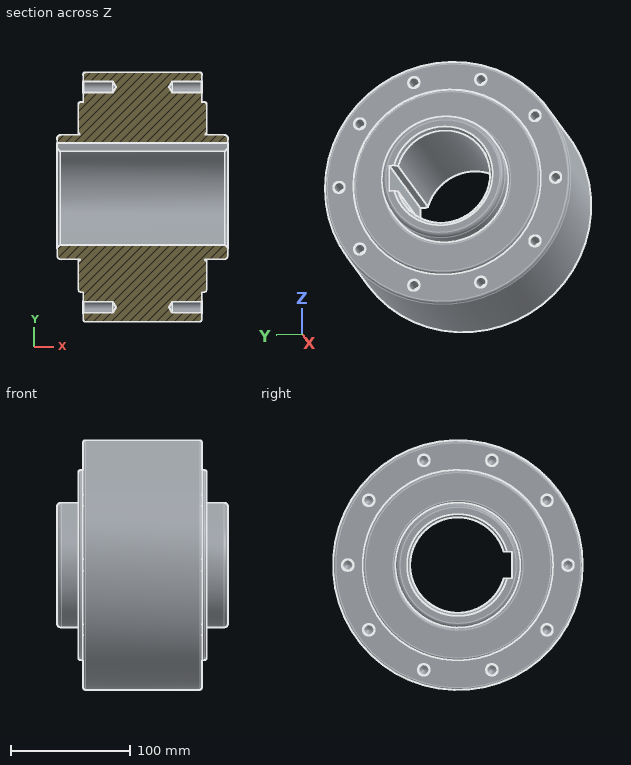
import cadquery as cq
import math

hub_length = 144.0
cover_length = 108.0
body_length = 100.0

body_diameter = 210.0
cover_diameter = 160.0
hub_diameter = 105.0
bore_diameter = 80.0

housing_fillet = 2.1
hub_fillet = 3.7
bore_chamfer = 2.8

key_width = 22.0
key_height_over_bore = 5.4

hole_count = 10
hole_circle_diameter = 185.0
hole_diameter = 9.0
hole_mouth_diameter = 10.0
hole_depth = 25.0
drill_point_angle = 118.0


def centred_cylinder(diameter, length):
    """Cylinder along X, centred on the origin."""
    return cq.Workplane("YZ", origin=(-length / 2, 0, 0)).circle(diameter / 2).extrude(length)


def rounded_cylinder(diameter, length, fillet):
    """Centred cylinder with both rims rounded."""
    return centred_cylinder(diameter, length).edges("%CIRCLE").fillet(fillet)


def revolved_about_x(profile):
    """Solid of revolution of a closed profile of (x, radius) points."""
    return cq.Workplane("XY").polyline(profile).close().revolve(360, (0, 0, 0), (1, 0, 0))


def mirrored_pair(half):
    """The given solid together with its mirror image at the other end."""
    return half.union(half.mirror("YZ"))


def make_housing():
    """Outer body with a raised cover at each end."""
    body = rounded_cylinder(body_diameter, body_length, housing_fillet)
    cover = rounded_cylinder(cover_diameter, cover_length, housing_fillet)
    return body.union(cover)


def make_cover_rim_grooves():
    """Cuts that round the inner rim of each cover, running down to the hub surface."""
    face = cover_length / 2
    hub_radius = hub_diameter / 2
    arc_middle_inset = housing_fillet * (1 - math.sqrt(0.5))
    groove = (
        cq.Workplane("XY")
        .moveTo(face, 0)
        .lineTo(face, hub_radius + housing_fillet)
        .threePointArc(
            (face - arc_middle_inset, hub_radius + arc_middle_inset),
            (face - housing_fillet, hub_radius),
        )
        .lineTo(face - housing_fillet, 0)
        .close()
        .revolve(360, (0, 0, 0), (1, 0, 0))
    )
    return mirrored_pair(groove)


def make_bore():
    """Through bore with a conical lead-in at each end."""
    end = hub_length / 2
    bore_radius = bore_diameter / 2
    mouth_radius = bore_radius + bore_chamfer
    return revolved_about_x([
        (-end, 0),
        (-end, mouth_radius),
        (-end + bore_chamfer, bore_radius),
        (end - bore_chamfer, bore_radius),
        (end, mouth_radius),
        (end, 0),
    ])


def make_keyway():
    """Rectangular slot along the full length of the bore."""
    key_reach = bore_diameter / 2 + key_height_over_bore
    return cq.Workplane("XY").box(hub_length, key_reach, key_width).translate((0, key_reach / 2, 0))


def make_end_holes():
    """Ring of countersunk blind holes with conical bottoms in each end face."""
    face = body_length / 2
    hole_radius = hole_diameter / 2
    mouth_radius = hole_mouth_diameter / 2
    mouth_depth = mouth_radius - hole_radius
    point_length = hole_radius / math.tan(math.radians(drill_point_angle / 2))
    drill = revolved_about_x([
        (face, 0),
        (face, mouth_radius),
        (face - mouth_depth, hole_radius),
        (face - hole_depth, hole_radius),
        (face - hole_depth - point_length, 0),
    ]).translate((0, hole_circle_diameter / 2, 0))
    holes = cq.Workplane("XY")
    for index in range(hole_count):
        angle = index * 360 / hole_count
        holes = holes.add(drill.rotate((0, 0, 0), (1, 0, 0), angle))
    return mirrored_pair(holes.combine())


hub = rounded_cylinder(hub_diameter, hub_length, hub_fillet)

result = (
    make_housing()
    .cut(make_cover_rim_grooves())
    .union(hub)
    .cut(make_bore())
    .cut(make_keyway())
    .cut(make_end_holes())
)